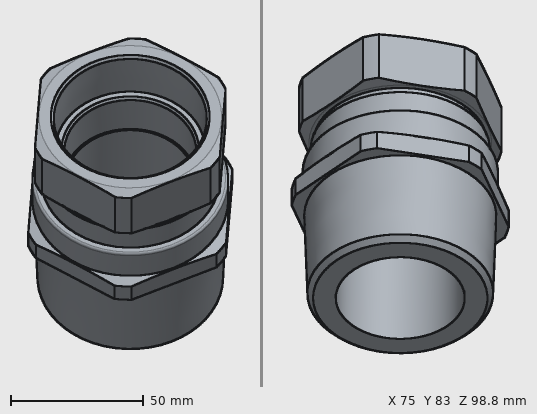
import cadquery as cq
import math

total_height = 98.75
lead_chamfer_height = 2.4
body_hex_bottom = 40.0
body_hex_top = 48.9
collar_top = 61.9
seat_height = 60.4
sleeve_top = 72.9
head_bottom = 75.7
thread_depth = 19.9

body_hex_flats = 75.0
body_hex_corners = 83.0
head_hex_flats = 70.0
head_hex_corners = 77.5
hex_chamfer_drop = 0.9

taper_ratio = 1 / 32
taper_top_radius = 36.3
taper_end_radius = taper_top_radius - taper_ratio * (body_hex_bottom - lead_chamfer_height)
lead_radius = 33.0
collar_radius = 37.0
collar_fillet = 1.0
sleeve_radius = 33.9
neck_radius = 32.9
head_face_radius = 34.6

body_bore_radius = 24.4
sleeve_bore_radius = 25.0
bore_chamfer = 1.0
thread_top_radius = 28.9
thread_end_radius = thread_top_radius - taper_ratio * thread_depth
mouth_radius = 30.0
mouth_chamfer = mouth_radius - thread_top_radius


def revolve_profile(points):
    """Revolve a closed (radius, height) outline around the Z axis."""
    return cq.Workplane("XZ").polyline(points).close().revolve(360, (0, 0, 0), (0, 1, 0))


def hex_prism(flats, bottom, top):
    """Hexagonal prism with two of its corners on the Y axis."""
    corner_diameter = flats / math.cos(math.pi / 6)
    return (
        cq.Workplane("XY", origin=(0, 0, bottom))
        .polygon(6, corner_diameter)
        .extrude(top - bottom)
        .rotate((0, 0, 0), (0, 0, 1), 30)
    )


def make_lower_body():
    """Taper-threaded end, wrench hexagon and collar."""
    hex_envelope = revolve_profile([
        (0, body_hex_bottom),
        (body_hex_corners / 2, body_hex_bottom),
        (body_hex_corners / 2, body_hex_top - hex_chamfer_drop),
        (collar_radius, body_hex_top),
        (0, body_hex_top),
    ])
    wrench_hex = hex_prism(body_hex_flats, body_hex_bottom, body_hex_top).intersect(hex_envelope)
    tapered_end = revolve_profile([
        (0, 0),
        (lead_radius, 0),
        (taper_end_radius, lead_chamfer_height),
        (taper_top_radius, body_hex_bottom),
        (0, body_hex_bottom),
    ])
    collar = (
        cq.Workplane("XY", origin=(0, 0, body_hex_top))
        .circle(collar_radius)
        .extrude(collar_top - body_hex_top)
        .faces(">Z").edges().fillet(collar_fillet)
    )
    bore = cq.Workplane("XY").circle(body_bore_radius).extrude(collar_top)
    seat = (
        cq.Workplane("XY", origin=(0, 0, seat_height))
        .circle(sleeve_radius)
        .extrude(collar_top - seat_height)
    )
    return tapered_end.union(wrench_hex).union(collar).cut(bore).cut(seat)


def make_upper_fitting():
    """Hexagonal head with a taper-threaded socket, on a necked sleeve."""
    head_envelope = revolve_profile([
        (0, head_bottom),
        (head_face_radius, head_bottom),
        (head_hex_corners / 2, head_bottom + hex_chamfer_drop),
        (head_hex_corners / 2, total_height - hex_chamfer_drop),
        (head_face_radius, total_height),
        (0, total_height),
    ])
    head = hex_prism(head_hex_flats, head_bottom, total_height).intersect(head_envelope)
    sleeve = (
        cq.Workplane("XY", origin=(0, 0, seat_height))
        .circle(sleeve_radius)
        .extrude(sleeve_top - seat_height)
    )
    neck = (
        cq.Workplane("XY", origin=(0, 0, sleeve_top))
        .circle(neck_radius)
        .extrude(head_bottom - sleeve_top)
    )
    shoulder_height = total_height - thread_depth
    bore = revolve_profile([
        (0, seat_height),
        (sleeve_bore_radius, seat_height),
        (sleeve_bore_radius, shoulder_height - bore_chamfer),
        (sleeve_bore_radius + bore_chamfer, shoulder_height),
        (thread_end_radius, shoulder_height),
        (thread_top_radius, total_height - mouth_chamfer),
        (mouth_radius, total_height),
        (0, total_height),
    ])
    return sleeve.union(neck).union(head).cut(bore)


lower_body = make_lower_body()
upper_fitting = make_upper_fitting()
result = cq.Compound.makeCompound([lower_body.solids().val(), upper_fitting.solids().val()])